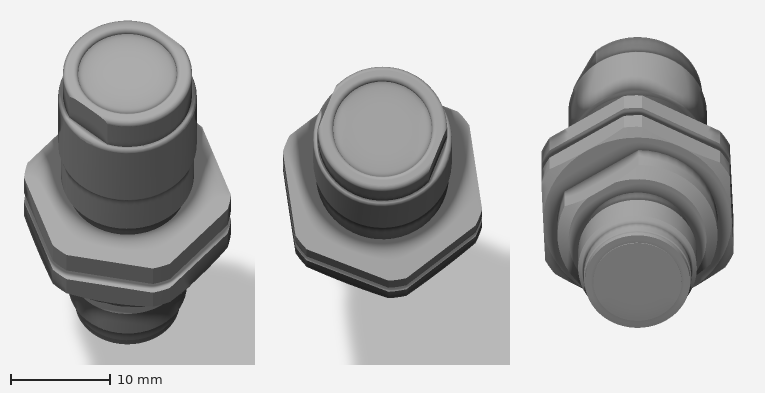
import cadquery as cq
import math

Z_FOOT = 0.1
Z_TIP = 0.85
Z_COLLAR_BOTTOM = 2.37
Z_COLLAR_TOP = 6.85
Z_NUT_BOTTOM = 8.92
Z_LOWER_HEX_BOTTOM = 13.02
Z_LOWER_HEX_TOP = 15.95
Z_SEAL_BOTTOM = 16.52
Z_UPPER_HEX_BOTTOM = 17.5
Z_UPPER_HEX_TOP = 20.2
Z_SLEEVE_BOTTOM = 22.25
Z_GRIP_BOTTOM = 27.18
Z_GRIP_TOP = 36.22
HEIGHT = 40.2

R_FOOT = 4.45
R_TIP = 5.3
R_PLUG = 5.43
R_COLLAR = 6.0
R_NUT = 8.1
R_THREAD = 6.5
R_SEAL = 8.5
R_BARREL_NECK = R_COLLAR
R_SLEEVE = 6.7
R_GRIP = 7.0
R_HEAD = 6.5
R_RECESS = 5.0

TIP_BEVEL_HEIGHT = 0.12
COLLAR_TOP_BEVEL = 0.5
COLLAR_BOTTOM_BEVEL = 0.55
NUT_BEVEL_WIDTH = 1.13
NUT_BEVEL_HEIGHT = 0.95
RIM_ROUND = 0.5

HEX_ACROSS_FLATS = 19.0
HEX_CORNER_RADIUS = 10.5
HEX_BEVEL_HEIGHT = 0.5
HEX_CORNER_ANGLE = 45
HEAD_ACROSS_FLATS = 12.0
HEAD_FLAT_ANGLE = 105
NUT_ACROSS_FLATS = 13.5
NUT_FLAT_ANGLE = 135


def disc(radius, bottom, top):
    """Upright cylinder between two heights."""
    return cq.Workplane("XY").workplane(offset=bottom).circle(radius).extrude(top - bottom)


def slab(across_flats, angle, bottom, top):
    """Wide block whose two long faces have their normals at the given angle."""
    block = cq.Workplane("XY").box(across_flats, HEIGHT, top - bottom, centered=(True, True, False))
    return block.rotate((0, 0, 0), (0, 0, 1), angle).translate((0, 0, bottom))


def hexagon(bottom, top):
    """Hexagonal flange with its corners turned down to a cylinder."""
    across_corners = HEX_ACROSS_FLATS / math.cos(math.radians(30))
    prism = cq.Workplane("XY").polygon(6, across_corners).extrude(top - bottom)
    prism = prism.rotate((0, 0, 0), (0, 0, 1), HEX_CORNER_ANGLE).translate((0, 0, bottom))
    return prism.intersect(disc(HEX_CORNER_RADIUS, bottom, top))


def plug():
    """Connector end: shallow foot, stepped tip, bevelled collar and neck."""
    outline = [
        (0, 0),
        (R_FOOT, 0),
        (R_FOOT, Z_FOOT),
        (R_TIP, Z_FOOT),
        (R_TIP, Z_TIP),
        (R_PLUG, Z_TIP + TIP_BEVEL_HEIGHT),
        (R_PLUG, Z_COLLAR_BOTTOM),
        (R_COLLAR, Z_COLLAR_BOTTOM + COLLAR_BOTTOM_BEVEL),
        (R_COLLAR, Z_COLLAR_TOP - COLLAR_TOP_BEVEL),
        (R_PLUG, Z_COLLAR_TOP),
        (R_PLUG, Z_NUT_BOTTOM),
        (0, Z_NUT_BOTTOM),
    ]
    return cq.Workplane("XZ").polyline(outline).close().revolve(360, (0, 0), (0, 1))


def round_nut():
    """Round body with a bevelled lower edge and two wrench flats."""
    body = disc(R_NUT, Z_NUT_BOTTOM, Z_LOWER_HEX_BOTTOM)
    body = body.faces("<Z").chamfer(NUT_BEVEL_HEIGHT, NUT_BEVEL_WIDTH)
    return body.intersect(slab(NUT_ACROSS_FLATS, NUT_FLAT_ANGLE, Z_NUT_BOTTOM, Z_LOWER_HEX_BOTTOM))


def lower_hexagon():
    """Hexagon whose lower corners are cut back by a cone."""
    bevel_width = HEX_CORNER_RADIUS - HEX_ACROSS_FLATS / 2
    envelope = disc(HEX_CORNER_RADIUS, Z_LOWER_HEX_BOTTOM, Z_LOWER_HEX_TOP)
    envelope = envelope.faces("<Z").chamfer(HEX_BEVEL_HEIGHT, bevel_width)
    return hexagon(Z_LOWER_HEX_BOTTOM, Z_LOWER_HEX_TOP).intersect(envelope)


def seal():
    """O-ring half sunk into the underside of the upper hexagon."""
    cord_radius = Z_UPPER_HEX_BOTTOM - Z_SEAL_BOTTOM
    return cq.Workplane("XY").add(
        cq.Solid.makeTorus(R_SEAL - cord_radius, cord_radius, cq.Vector(0, 0, Z_UPPER_HEX_BOTTOM))
    )


def barrel():
    """Neck, sleeve and rounded grip above the upper hexagon."""
    neck = disc(R_BARREL_NECK, Z_UPPER_HEX_TOP, Z_SLEEVE_BOTTOM)
    sleeve = disc(R_SLEEVE, Z_SLEEVE_BOTTOM, Z_GRIP_BOTTOM)
    grip = disc(R_GRIP, Z_GRIP_BOTTOM, Z_GRIP_TOP).edges().fillet(RIM_ROUND)
    return neck.union(sleeve).union(grip)


def head():
    """Top section with two flats, a rounded rim and a shallow round-lipped recess."""
    body = disc(R_HEAD, Z_GRIP_TOP, HEIGHT).faces(">Z").edges().fillet(RIM_ROUND)
    body = body.intersect(slab(HEAD_ACROSS_FLATS, HEAD_FLAT_ANGLE, Z_GRIP_TOP, HEIGHT))
    recess = (
        cq.Workplane("XZ")
        .moveTo(0, HEIGHT - RIM_ROUND)
        .lineTo(R_RECESS, HEIGHT - RIM_ROUND)
        .radiusArc((R_RECESS + RIM_ROUND, HEIGHT), RIM_ROUND)
        .lineTo(0, HEIGHT)
        .close()
        .revolve(360, (0, 0), (0, 1))
    )
    return body.cut(recess)


thread = disc(R_THREAD, Z_LOWER_HEX_TOP, Z_UPPER_HEX_BOTTOM)
upper_hexagon = hexagon(Z_UPPER_HEX_BOTTOM, Z_UPPER_HEX_TOP)
result = plug().union(round_nut()).union(lower_hexagon()).union(thread)
result = result.union(upper_hexagon).union(seal()).union(barrel()).union(head())